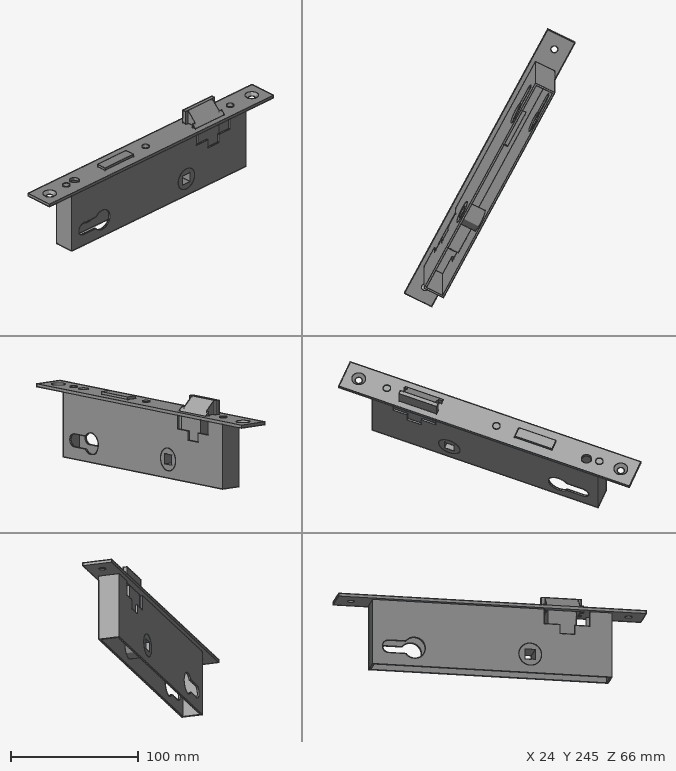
import cadquery as cq


PLATE_LENGTH = 245.0
PLATE_WIDTH = 24.0
PLATE_THICKNESS = 2.5
SCREW_Y = 110.5
SCREW_DIAMETER = 5.5
SCREW_HEAD_DIAMETER = 10.8
RIVET_DIAMETER = 6.0
RIVET_HEIGHT = 0.7
RIVET_YS = (86.7, -5.6, -92.4)
ACCESS_HOLE_X = -1.5
ACCESS_HOLE_Y = -82.0
ACCESS_HOLE_DIAMETER = 7.8

CASE_WIDTH = 17.2
CASE_Y_MAX = 95.8
CASE_Y_MIN = -94.8
CASE_DEPTH = 52.5
WALL = 1.5
CASE_BOTTOM = -PLATE_THICKNESS - CASE_DEPTH
CAVITY_WIDTH = CASE_WIDTH - 2 * WALL

LATCH_HEIGHT = 11.0
LATCH_WIDTH = CAVITY_WIDTH
LATCH_FLAT = 3.2
LATCH_Y_MIN = 42.0
LATCH_Y_MAX = 73.7
TAIL_Y_MIN = 44.8
TAIL_Y_MAX = 67.5
TAIL_BOTTOM = -21.5
GUIDE_WIDTH = 6.4
GUIDE_DEPTH = 2.2
GUIDE_END_GAP = 0.5
GROOVE_WIDTH = LATCH_WIDTH - 2 * LATCH_FLAT
GROOVE_DEPTH = GUIDE_DEPTH + GUIDE_END_GAP

WINDOW_Y_MIN = LATCH_Y_MIN
WINDOW_Y_MAX = 78.2
WINDOW_BOTTOM = -14.2
NOTCH_Y_MIN = 54.5
NOTCH_Y_MAX = 66.2

BOLT_WIDTH = 8.3
BOLT_Y_MIN = -54.1
BOLT_Y_MAX = -23.0
BOLT_HEIGHT = 2.0
BOLT_END_GAP = 0.7

LOCK_AXIS_Z = -40.0
HUB_Y = 30.6
HUB_DIAMETER = 18.0
HUB_HOLE_DIAMETER = 18.1
SPINDLE_SIDE = 8.0
KEY_Y = -61.5
KEY_DIAMETER = 17.2
KEY_SLOT_HEIGHT = 10.3
KEY_SLOT_END_Y = -87.0


def block(x_range, y_range, z_range):
    """Box between the given limits on each axis."""
    (x0, x1), (y0, y1), (z0, z1) = x_range, y_range, z_range
    return cq.Workplane("XY").box(x1 - x0, y1 - y0, z1 - z0, centered=False).translate((x0, y0, z0))


def centred(width):
    """Limits of a width centred on zero."""
    return (-width / 2, width / 2)


def across_case(y, z):
    """Workplane on the -X face of the case at (y, z), its normal pointing to +X."""
    return cq.Workplane("YZ", origin=(-CASE_WIDTH / 2, y, z))


def latch_end_blocks(width, depth, top):
    """Two boxes at the -Y and +Y ends of the latch head, from the plate underside up to top."""
    z_range = (-PLATE_THICKNESS, top)
    lower = block(centred(width), (LATCH_Y_MIN, LATCH_Y_MIN + depth), z_range)
    upper = block(centred(width), (LATCH_Y_MAX - depth, LATCH_Y_MAX), z_range)
    return lower.union(upper)


def make_faceplate():
    plate = block(centred(PLATE_WIDTH), centred(PLATE_LENGTH), (-PLATE_THICKNESS, 0))
    for y in (-SCREW_Y, SCREW_Y):
        countersink = (
            cq.Workplane("XY", origin=(0, y, 0))
            .circle(SCREW_HEAD_DIAMETER / 2)
            .workplane(offset=-PLATE_THICKNESS)
            .circle(SCREW_DIAMETER / 2)
            .loft(ruled=True)
        )
        plate = plate.cut(countersink)
    access_hole = (
        cq.Workplane("XY", origin=(ACCESS_HOLE_X, ACCESS_HOLE_Y, -PLATE_THICKNESS))
        .circle(ACCESS_HOLE_DIAMETER / 2)
        .extrude(PLATE_THICKNESS)
    )
    rivets = cq.Workplane("XY").pushPoints([(0, y) for y in RIVET_YS])
    rivets = rivets.circle(RIVET_DIAMETER / 2).extrude(RIVET_HEIGHT)
    plate = plate.cut(access_hole).cut(make_latch_opening()).union(rivets)
    bolt_opening = block(
        centred(BOLT_WIDTH), (BOLT_Y_MIN, BOLT_Y_MAX + BOLT_END_GAP), (-PLATE_THICKNESS, 0)
    )
    return plate.cut(bolt_opening)


def make_latch_opening():
    """H-shaped opening: a guide tongue of the plate reaches into it from each end."""
    opening = block(centred(LATCH_WIDTH), (LATCH_Y_MIN, LATCH_Y_MAX), (-PLATE_THICKNESS, 0))
    return opening.cut(latch_end_blocks(GUIDE_WIDTH, GUIDE_DEPTH, 0))


def make_key_cutout():
    """Profile cylinder cutout: a circle with a round-ended slot toward -Y."""
    slot_radius = KEY_SLOT_HEIGHT / 2
    slot_centre_y = KEY_SLOT_END_Y + slot_radius
    circle = across_case(KEY_Y, LOCK_AXIS_Z).circle(KEY_DIAMETER / 2).extrude(CASE_WIDTH)
    slot_end = across_case(slot_centre_y, LOCK_AXIS_Z).circle(slot_radius).extrude(CASE_WIDTH)
    slot = block(
        centred(CASE_WIDTH),
        (slot_centre_y, KEY_Y),
        (LOCK_AXIS_Z - slot_radius, LOCK_AXIS_Z + slot_radius),
    )
    return circle.union(slot).union(slot_end)


def make_housing():
    case = block(centred(CASE_WIDTH), (CASE_Y_MIN, CASE_Y_MAX), (CASE_BOTTOM, -PLATE_THICKNESS))
    cavity = block(
        centred(CAVITY_WIDTH),
        (CASE_Y_MIN + WALL, CASE_Y_MAX - WALL),
        (CASE_BOTTOM, -PLATE_THICKNESS),
    )
    window = block(
        centred(CASE_WIDTH), (WINDOW_Y_MIN, WINDOW_Y_MAX), (WINDOW_BOTTOM, -PLATE_THICKNESS)
    )
    notch = block(centred(CASE_WIDTH), (NOTCH_Y_MIN, NOTCH_Y_MAX), (TAIL_BOTTOM, WINDOW_BOTTOM))
    hub_hole = across_case(HUB_Y, LOCK_AXIS_Z).circle(HUB_HOLE_DIAMETER / 2).extrude(CASE_WIDTH)
    case = case.cut(cavity).cut(window).cut(notch).cut(hub_hole).cut(make_key_cutout())
    return case.union(make_faceplate())


def make_latch():
    """Wedge-shaped head grooved at both ends, on a narrower tail inside the case."""
    half = LATCH_WIDTH / 2
    head = (
        cq.Workplane("XZ", origin=(0, LATCH_Y_MAX, 0))
        .polyline([
            (-half, -PLATE_THICKNESS),
            (-half, LATCH_HEIGHT),
            (-half + LATCH_FLAT, LATCH_HEIGHT),
            (half, 0),
            (half, -PLATE_THICKNESS),
        ])
        .close()
        .extrude(LATCH_Y_MAX - LATCH_Y_MIN)
    )
    head = head.cut(latch_end_blocks(GROOVE_WIDTH, GROOVE_DEPTH, LATCH_HEIGHT))
    tail = block(centred(LATCH_WIDTH), (TAIL_Y_MIN, TAIL_Y_MAX), (TAIL_BOTTOM, -PLATE_THICKNESS))
    return head.union(tail)


def make_deadbolt():
    return block(centred(BOLT_WIDTH), (BOLT_Y_MIN, BOLT_Y_MAX), (-PLATE_THICKNESS, BOLT_HEIGHT))


def make_hub():
    """Round hub across the full case width with a square spindle hole."""
    return (
        across_case(HUB_Y, LOCK_AXIS_Z)
        .circle(HUB_DIAMETER / 2)
        .rect(SPINDLE_SIDE, SPINDLE_SIDE)
        .extrude(CASE_WIDTH)
    )


housing = make_housing()
latch = make_latch()
deadbolt = make_deadbolt()
hub = make_hub()

result = cq.Compound.makeCompound([housing.val(), latch.val(), deadbolt.val(), hub.val()])